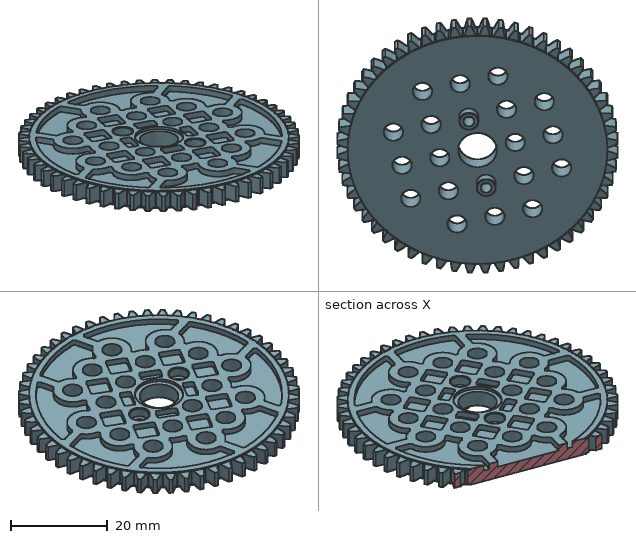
import cadquery as cq
import math

overall_size = 58.05
tooth_count = 56
pressure_angle = math.radians(20)
tooth_width = 3.5
root_radius = 26.75
root_rounding = 0.5
root_flat = 0.2
flank_intervals = 5

collar_radius = 26.9
disc_thickness = 4.0
rim_inner_radius = 25.5
pocket_depth = 1.3
corner_radius = 0.5

hole_pitch = 8.0
last_row = 2
hole_diameter = 4.0
boss_radius = hole_pitch / 2
spoke_width = 2.0

bore_diameter = 8.0
recess_diameter = 10.0
recess_depth = 0.6

diamond_side = 4.6
bore_wall_distance = 5.5

peg_diameter = 4.0
peg_length = 2.0
peg_chamfer = 0.1
pin_hole_diameter = 2.25
socket_depth = 2.15
socket_chamfer = 0.2

collar_height = (disc_thickness - tooth_width) / 2
pocket_floor = disc_thickness - pocket_depth
half_tooth_angle = math.pi / tooth_count
pitch_radius = overall_size / 2 * tooth_count / (tooth_count + 2)
base_radius = pitch_radius * math.cos(pressure_angle)


def involute(angle):
    return math.tan(angle) - angle


def flank_angle(radius):
    """Half of the angle a tooth fills at the given radius."""
    local_pressure = math.acos(base_radius / radius)
    return half_tooth_angle / 2 + involute(pressure_angle) - involute(local_pressure)


tip_corner_angle = half_tooth_angle - flank_angle(overall_size / 2)
tip_radius = overall_size / 2 / math.cos(tip_corner_angle)


def polar(radius, angle):
    return (radius * math.cos(angle), radius * math.sin(angle))


def cylinder(diameter, height, bottom, points):
    return cq.Workplane("XY").workplane(offset=bottom).pushPoints(points).circle(diameter / 2).extrude(height)


def make_gear_rim():
    """Full-width toothed section, centred in the disc thickness."""
    flank_start = root_radius + root_rounding
    step = (tip_radius - flank_start) / flank_intervals
    flank_radii = [flank_start + step * i for i in range(flank_intervals + 1)]
    root_angle = half_tooth_angle - root_flat / 2 / root_radius

    flank = [(root_radius, root_angle)] + [(r, flank_angle(r)) for r in flank_radii]

    outline = cq.Workplane("XY").workplane(offset=collar_height)
    outline = outline.moveTo(*polar(root_radius, half_tooth_angle - root_angle))
    for tooth in range(tooth_count):
        centre = (2 * tooth + 1) * half_tooth_angle
        rising = [polar(r, centre - angle) for r, angle in flank]
        falling = [polar(r, centre + angle) for r, angle in reversed(flank)]
        gap_middle = polar(root_radius, centre + half_tooth_angle)
        next_root = polar(root_radius, centre + 2 * half_tooth_angle - root_angle)
        outline = outline.spline(rising[1:], includeCurrent=True)
        outline = outline.threePointArc(polar(tip_radius, centre), falling[0])
        outline = outline.spline(falling[1:], includeCurrent=True)
        outline = outline.threePointArc(gap_middle, next_root)
    return outline.close().extrude(tooth_width)


def grid_points():
    """Hole grid positions: a square grid without its four corners."""
    rows = range(-last_row, last_row + 1)
    return [
        (i * hole_pitch, j * hole_pitch)
        for i in rows
        for j in rows
        if abs(i) + abs(j) < 2 * last_row
    ]


def hub_boundary_centres():
    """Outermost hole positions, in order anticlockwise around the hub."""
    near = hole_pitch
    far = last_row * hole_pitch
    quarter = [(far, 0), (far, near), (near, near), (near, far)]
    return (
        quarter
        + [(-y, x) for x, y in quarter]
        + [(-x, -y) for x, y in quarter]
        + [(y, -x) for x, y in quarter]
    )


def make_hub():
    """Raised hub bounded by the outermost bosses, with the cusps between neighbours rounded."""
    centres = hub_boundary_centres()
    count = len(centres)
    normals = []
    for (x, y), (next_x, next_y) in zip(centres, centres[1:] + centres[:1]):
        normals.append(((next_y - y) / hole_pitch, (x - next_x) / hole_pitch))

    rise = math.sqrt((boss_radius + corner_radius) ** 2 - boss_radius ** 2)
    contact = boss_radius / (boss_radius + corner_radius)

    def cusp(index):
        """Start, lowest point and end of the arc that rounds the cusp after a boss."""
        x, y = centres[index]
        next_x, next_y = centres[(index + 1) % count]
        out_x, out_y = normals[index]
        arc_x = (x + next_x) / 2 + out_x * rise
        arc_y = (y + next_y) / 2 + out_y * rise
        start = (x + (arc_x - x) * contact, y + (arc_y - y) * contact)
        lowest = (arc_x - out_x * corner_radius, arc_y - out_y * corner_radius)
        end = (next_x + (arc_x - next_x) * contact, next_y + (arc_y - next_y) * contact)
        return start, lowest, end

    outline = cq.Workplane("XY").workplane(offset=pocket_floor).moveTo(*cusp(count - 1)[2])
    for index, (x, y) in enumerate(centres):
        facing = math.atan2(
            normals[index - 1][1] + normals[index][1],
            normals[index - 1][0] + normals[index][0],
        )
        boss_x, boss_y = polar(boss_radius, facing)
        start, lowest, end = cusp(index)
        outline = outline.threePointArc((x + boss_x, y + boss_y), start)
        outline = outline.threePointArc(lowest, end)
    return outline.close().extrude(pocket_depth)


def make_outer_pockets():
    """Eight pockets between the rim and the hub, divided by spokes."""
    pockets = cylinder(2 * rim_inner_radius, pocket_depth, pocket_floor, [(0, 0)])
    pockets = pockets.cut(make_hub())
    base = cq.Workplane("XY").workplane(offset=pocket_floor)
    for offset in (-hole_pitch, hole_pitch):
        pockets = pockets.cut(base.center(offset, 0).rect(spoke_width, overall_size).extrude(pocket_depth))
        pockets = pockets.cut(base.center(0, offset).rect(overall_size, spoke_width).extrude(pocket_depth))

    def is_spoke_corner(edge):
        """True for an upright edge that lies on the side face of a spoke."""
        tolerance = 0.0005
        centre = edge.Center()
        gaps = [abs(abs(abs(v) - hole_pitch) - spoke_width / 2) for v in (centre.x, centre.y)]
        return min(gaps) < tolerance

    return pockets.edges("|Z").filter(is_spoke_corner).fillet(corner_radius)


def make_diamond(inner, outer, offset):
    """Pocket turned by 45 degrees: its extent along the X = Y diagonal and its offset to the side."""
    length = outer - inner
    return (
        cq.Workplane("XY")
        .workplane(offset=pocket_floor)
        .center((inner + outer) / 2, offset)
        .rect(length, diamond_side)
        .extrude(pocket_depth)
        .edges("|Z")
        .fillet(corner_radius)
        .rotate((0, 0, 0), (0, 0, 1), 45)
    )


def make_diamond_pockets():
    """Twelve pockets centred between the holes; the innermost four stop short of the bore."""
    spacing = hole_pitch / math.sqrt(2)
    outer_wall = spacing + diamond_side / 2
    middle = 2 * spacing
    quarter = make_diamond(bore_wall_distance, outer_wall, 0)
    for offset in (-spacing, spacing):
        quarter = quarter.union(make_diamond(middle - diamond_side / 2, middle + diamond_side / 2, offset))
    pockets = quarter
    for turn in range(1, 4):
        pockets = pockets.union(quarter.rotate((0, 0, 0), (0, 0, 1), 90 * turn))
    return pockets


pin_points = [(-hole_pitch, 0), (hole_pitch, 0)]
hole_points = [p for p in grid_points() if p != (0, 0) and p not in pin_points]

result = make_gear_rim()
for collar_bottom in (0, disc_thickness - collar_height):
    result = result.union(cylinder(2 * collar_radius, collar_height, collar_bottom, [(0, 0)]))
result = result.cut(make_outer_pockets())
result = result.cut(make_diamond_pockets())

result = result.cut(cylinder(hole_diameter, disc_thickness, 0, hole_points))
result = result.cut(cylinder(bore_diameter, disc_thickness, 0, [(0, 0)]))
result = result.cut(cylinder(recess_diameter, recess_depth, disc_thickness - recess_depth, [(0, 0)]))

pegs = cylinder(peg_diameter, peg_length, -peg_length, pin_points).faces("<Z").chamfer(peg_chamfer)
sockets = cylinder(peg_diameter, socket_depth, disc_thickness - socket_depth, pin_points)
chamfers = (
    cq.Workplane("XY")
    .workplane(offset=disc_thickness)
    .pushPoints(pin_points)
    .circle(peg_diameter / 2 + socket_chamfer)
    .extrude(-socket_chamfer, taper=45)
)
result = result.union(pegs).cut(sockets).cut(chamfers)
result = result.cut(cylinder(pin_hole_diameter, disc_thickness + peg_length, -peg_length, pin_points))